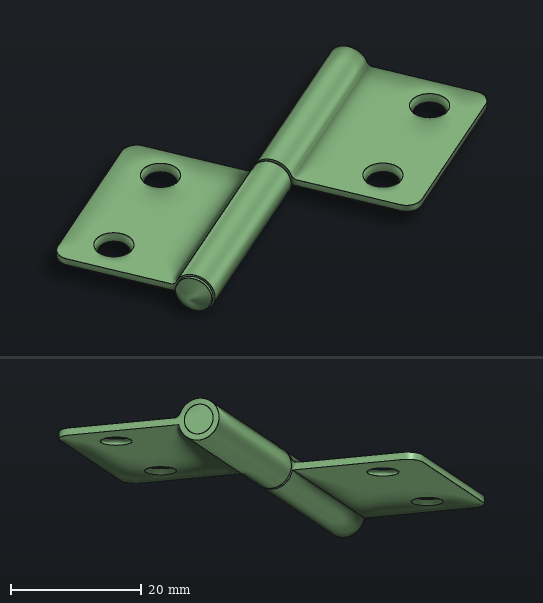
import cadquery as cq
import math

HINGE_WIDTH = 47.4
HINGE_LENGTH = 65.4
LEAF_LENGTH = 31.4
LEAF_GAP = 0.6

PLATE_THICKNESS = 1.2
PLATE_CORNER_RADIUS = 2.55
BARREL_RADIUS = 3.35
ROOT_FILLET_RADIUS = 1.0

HOLE_OFFSET = 15.8
HOLE_SPACING = 19.2
HOLE_TOP_RADIUS = 3.1
HOLE_BOTTOM_RADIUS = 2.4

PIN_RADIUS = 2.35
HEAD_RADIUS = 3.0
HEAD_THICKNESS = 0.5

PLATE_REACH = HINGE_WIDTH / 2
PLATE_TOP = PLATE_THICKNESS / 2
PIN_LENGTH = 2 * LEAF_LENGTH + LEAF_GAP
POINT_LENGTH = HINGE_LENGTH - PIN_LENGTH - HEAD_THICKNESS


def circle_point(radius, angle):
    return (radius * math.cos(angle), radius * math.sin(angle))


def leaf_profile(start):
    """XZ outline of a leaf whose plate points toward -X."""
    fillet_z = PLATE_TOP + ROOT_FILLET_RADIUS
    fillet_x = -math.sqrt((BARREL_RADIUS + ROOT_FILLET_RADIUS) ** 2 - fillet_z ** 2)
    barrel_end = math.atan2(fillet_z, fillet_x)
    plate_tangent = -math.pi / 2
    barrel_tangent = barrel_end - math.pi
    middle_x, middle_z = circle_point(ROOT_FILLET_RADIUS, (plate_tangent + barrel_tangent) / 2)

    barrel_start = -math.pi + math.asin(PLATE_TOP / BARREL_RADIUS)
    barrel_middle = (barrel_start + barrel_end) / 2

    return (
        cq.Workplane("XZ", origin=(0, start, 0))
        .moveTo(-PLATE_REACH, PLATE_TOP)
        .lineTo(-PLATE_REACH, -PLATE_TOP)
        .lineTo(*circle_point(BARREL_RADIUS, barrel_start))
        .threePointArc(circle_point(BARREL_RADIUS, barrel_middle), circle_point(BARREL_RADIUS, barrel_end))
        .threePointArc((fillet_x + middle_x, fillet_z + middle_z), (fillet_x, PLATE_TOP))
        .close()
    )


def screw_hole(y):
    """Conical cutter, wider at the plate top."""
    bottom = cq.Vector(-HOLE_OFFSET, y, -PLATE_TOP)
    return cq.Solid.makeCone(HOLE_BOTTOM_RADIUS, HOLE_TOP_RADIUS, PLATE_THICKNESS, bottom, cq.Vector(0, 0, 1))


def pin_shaft(start, length):
    """Cylinder of the pin's diameter on the hinge axis, from Y = start toward +Y."""
    return cq.Workplane("XZ", origin=(0, start, 0)).circle(PIN_RADIUS).extrude(-length)


def make_leaf(start):
    """Leaf with its plate toward -X, occupying Y = start to start + LEAF_LENGTH."""
    leaf = leaf_profile(start).extrude(-LEAF_LENGTH)
    leaf = leaf.edges("|Z").edges("<X").fillet(PLATE_CORNER_RADIUS)
    middle = start + LEAF_LENGTH / 2
    for side in (-1, 1):
        leaf = leaf.cut(cq.Workplane(screw_hole(middle + side * HOLE_SPACING / 2)))
    return leaf.cut(pin_shaft(start, LEAF_LENGTH))


def make_pin():
    """Shaft through both leaves, with a disc head and conical point toward -Y."""
    toward_point = cq.Vector(0, -1, 0)
    disc = cq.Solid.makeCylinder(HEAD_RADIUS, HEAD_THICKNESS, cq.Vector(0, 0, 0), toward_point)
    point_base = cq.Vector(0, -HEAD_THICKNESS, 0)
    point = cq.Solid.makeCone(HEAD_RADIUS, 0, POINT_LENGTH, point_base, toward_point)
    return pin_shaft(0, PIN_LENGTH).union(cq.Workplane(disc)).union(cq.Workplane(point))


lower_leaf = make_leaf(0)
upper_leaf = make_leaf(LEAF_LENGTH + LEAF_GAP).mirror("YZ")
pin = make_pin()

result = cq.Compound.makeCompound([lower_leaf.val(), upper_leaf.val(), pin.val()])